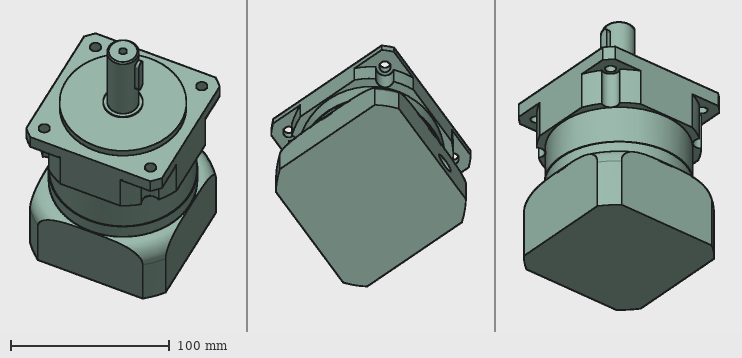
import cadquery as cq
import math

side = 95.0
total_height = 172.5

adapter_top = 46.5
ring_top = 56.5
barrel_top = 82.8
flange_bottom = 108.0
flange_top = 117.6
pilot_top = 122.5
collar_top = 123.2

adapter_disc_diameter = 120.0
adapter_fillet = 13.1
access_hole_diameter = 13.0
access_hole_y = -13.6
access_hole_z = 16.9
hub_diameter = 40.4

ring_diameter = 94.2
barrel_diameter = 93.2
block_disc_diameter = 103.8

flange_disc_diameter = 126.8
pilot_diameter = 80.0
bolt_circle_diameter = 105.2
bolt_hole_diameter = 7.0
bolt_relief_diameter = 11.5

collar_diameter = 25.0
shaft_diameter = 20.0
shaft_chamfer = 1.0
center_hole_diameter = 5.0
center_hole_depth = 13.8
drill_point_angle = 118.0

key_width = 6.0
key_bottom = 142.3
key_top = 167.5
key_outer_x = 12.5


def cylinder(diameter, bottom, top):
    return cq.Workplane("XY").workplane(offset=bottom).circle(diameter / 2).extrude(top - bottom)


def square_prism(bottom, top):
    return cq.Workplane("XY").workplane(offset=bottom).rect(side, side).extrude(top - bottom)


def trimmed_square(disc_diameter, bottom, top):
    """Square slab whose corners are turned down to a disc."""
    return square_prism(bottom, top).intersect(cylinder(disc_diameter, bottom, top))


def at_bolts(diameter, bottom, top):
    """Four cylinders on the bolt circle, one on each diagonal."""
    return (
        cq.Workplane("XY")
        .workplane(offset=bottom)
        .polarArray(bolt_circle_diameter / 2, 45, 360, 4)
        .circle(diameter / 2)
        .extrude(top - bottom)
    )


def make_adapter():
    """Adapter body; its access hole stops against the round hub on the axis."""
    disc = cylinder(adapter_disc_diameter, 0, adapter_top).faces(">Z").edges().fillet(adapter_fillet)
    access_hole = (
        cq.Workplane("YZ")
        .workplane(offset=-side / 2)
        .center(access_hole_y, access_hole_z)
        .circle(access_hole_diameter / 2)
        .extrude(side / 2)
    )
    hub = cylinder(hub_diameter, 0, adapter_top)
    return square_prism(0, adapter_top).intersect(disc).cut(access_hole.cut(hub))


def make_housing():
    """Round barrel with its lower ring, topped by the square block under the flange."""
    ring = cylinder(ring_diameter, adapter_top, ring_top)
    barrel = cylinder(barrel_diameter, ring_top, barrel_top)
    block = trimmed_square(block_disc_diameter, barrel_top, flange_bottom)
    block = block.cut(at_bolts(bolt_relief_diameter, barrel_top, flange_bottom))
    return ring.union(barrel).union(block)


def make_flange():
    """Mounting plate with its bolt holes and the round centering pilot."""
    plate = trimmed_square(flange_disc_diameter, flange_bottom, flange_top)
    plate = plate.cut(at_bolts(bolt_hole_diameter, flange_bottom, flange_top))
    return plate.union(cylinder(pilot_diameter, flange_top, pilot_top))


def make_center_hole():
    """Blind hole with a conical drill point, in the end of the shaft."""
    radius = center_hole_diameter / 2
    floor = total_height - center_hole_depth
    tip = floor - radius / math.tan(math.radians(drill_point_angle / 2))
    profile = [(0, tip), (radius, floor), (radius, total_height), (0, total_height)]
    return cq.Workplane("XZ").polyline(profile).close().revolve(360, (0, 0), (0, 1))


def make_key():
    """Round-ended key lying along the shaft."""
    return (
        cq.Workplane("YZ")
        .center(0, (key_bottom + key_top) / 2)
        .slot2D(key_top - key_bottom, key_width, 90)
        .extrude(key_outer_x)
    )


def make_shaft():
    """Output shaft with its foot collar, key and center hole."""
    shaft = cylinder(shaft_diameter, pilot_top, total_height).faces(">Z").edges().chamfer(shaft_chamfer)
    collar = cylinder(collar_diameter, pilot_top, collar_top)
    return shaft.union(collar).union(make_key()).cut(make_center_hole())


result = make_adapter().union(make_housing()).union(make_flange()).union(make_shaft())